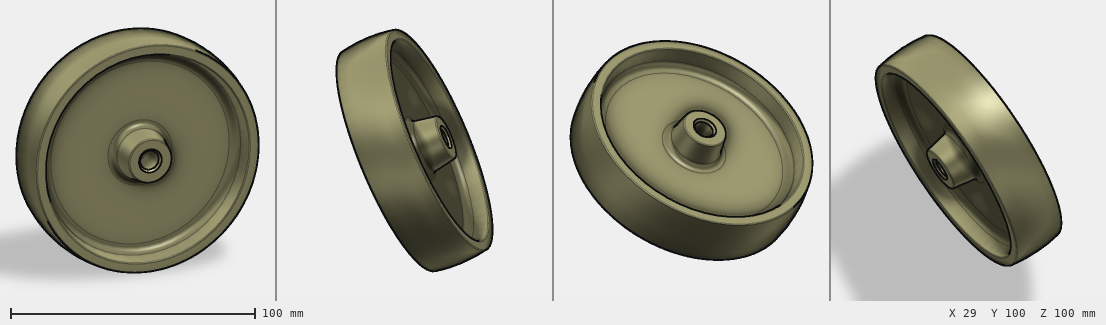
import cadquery as cq
import math

wheel_radius = 50.0
tread_edge_radius = 48.9
rim_width = 23.0
rim_inner_radius = 44.7
rim_draft = 15.0
rim_root_fillet = 4.0
rim_edge_fillet = 0.5

web_thickness = 5.0

hub_length = 29.0
hub_end_radius = 9.4
hub_draft = 10.0
hub_root_fillet = 3.0
hub_edge_fillet = 0.5

bore_radius = 4.0
bore_chamfer = 1.0

radius_tolerance = 0.01

half_rim = rim_width / 2
half_web = web_thickness / 2
half_hub = hub_length / 2

hub_root_radius = hub_end_radius + (half_hub - half_web) * math.tan(math.radians(hub_draft))
rim_root_radius = rim_inner_radius - (half_rim - half_web) * math.tan(math.radians(rim_draft))


def make_blank():
    """Revolve the sharp-cornered section, x along the axle and y along the radius."""
    section = (
        cq.Workplane("XY")
        .moveTo(-half_hub, 0)
        .lineTo(-half_hub, hub_end_radius)
        .lineTo(-half_web, hub_root_radius)
        .lineTo(-half_web, rim_root_radius)
        .lineTo(-half_rim, rim_inner_radius)
        .lineTo(-half_rim, tread_edge_radius)
        .threePointArc((0, wheel_radius), (half_rim, tread_edge_radius))
        .lineTo(half_rim, rim_inner_radius)
        .lineTo(half_web, rim_root_radius)
        .lineTo(half_web, hub_root_radius)
        .lineTo(half_hub, hub_end_radius)
        .lineTo(half_hub, 0)
        .close()
    )
    return section.revolve(360, (0, 0, 0), (1, 0, 0))


def circles_of_radius(body, radius):
    """Select the circular edges of the given radius on both sides of the wheel."""
    return body.edges("%CIRCLE").filter(lambda edge: abs(edge.radius() - radius) < radius_tolerance)


def cut_bore(body):
    """Cut the axle bore through the hub and chamfer both of its mouths."""
    bore = cq.Workplane("YZ").circle(bore_radius).extrude(half_hub, both=True)
    return circles_of_radius(body.cut(bore), bore_radius).chamfer(bore_chamfer)


wheel = make_blank()
for corner_radius, fillet in (
    (hub_root_radius, hub_root_fillet),
    (rim_root_radius, rim_root_fillet),
    (hub_end_radius, hub_edge_fillet),
    (rim_inner_radius, rim_edge_fillet),
    (tread_edge_radius, rim_edge_fillet),
):
    wheel = circles_of_radius(wheel, corner_radius).fillet(fillet)

result = cut_bore(wheel)